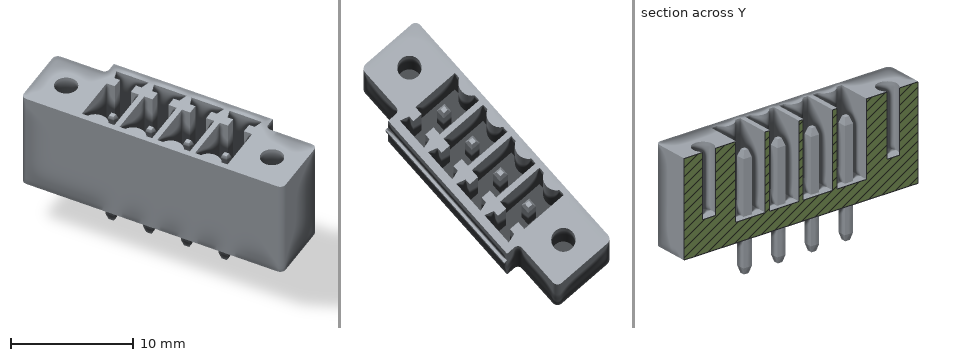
import cadquery as cq

LENGTH = 24.3
EAR_DEPTH = 6.0
BACK_WALL_Y = 7.25
BACK_WALL_LENGTH = 14.75
HEIGHT = 9.2
CORNER_RADIUS = 0.5
INNER_CORNER_RADIUS = 0.44

RIB_PROJECTION = 0.32
RIB_HEIGHT = 0.58
RIB_BOTTOM_Z = 5.69

HOLE_SPACING = 19.1
HOLE_DIAMETER = 2.0
HOLE_DEPTH = 6.08

CONTACT_COUNT = 4
PITCH = 3.5
CONTACT_Y = 3.01
PIN_WIDTH = 0.85
PIN_HEAD_TIP_WIDTH = 0.41
PIN_TAIL_TIP_WIDTH = 0.49
PIN_TIP_LENGTH = 0.65
PIN_TAIL_LENGTH = 3.4
PIN_TOP_Z = 7.8

POCKET_DEPTH = 7.3
POCKET_WIDTH = 3.01
POCKET_FRONT_Y = 0.5
NECK_WIDTH = 1.48
NECK_FRONT_Y = 4.8
NECK_BACK_Y = 5.7
DOVETAIL_NARROW_WIDTH = 2.53
POCKET_BACK_Y = 6.51
BUMP_WIDTH = 1.95
BUMP_HEIGHT = 0.58

contact_positions = [
    (PITCH * (i - (CONTACT_COUNT - 1) / 2), CONTACT_Y) for i in range(CONTACT_COUNT)
]


def make_housing():
    """Stepped block with rounded ear corners and rounded inner corners."""
    ears = cq.Workplane("XY").box(LENGTH, EAR_DEPTH, HEIGHT, centered=(True, False, False))
    ears = ears.edges("|Z").fillet(CORNER_RADIUS)
    middle = cq.Workplane("XY").box(
        BACK_WALL_LENGTH, BACK_WALL_Y, HEIGHT, centered=(True, False, False)
    )
    inner_corners = cq.selectors.BoxSelector(
        (-BACK_WALL_LENGTH / 2 - INNER_CORNER_RADIUS, EAR_DEPTH - INNER_CORNER_RADIUS, 0),
        (BACK_WALL_LENGTH / 2 + INNER_CORNER_RADIUS, EAR_DEPTH + INNER_CORNER_RADIUS, HEIGHT),
    )
    return ears.union(middle).edges("|Z").edges(inner_corners).fillet(INNER_CORNER_RADIUS)


def make_rib():
    """Straight latch rib standing off the back wall."""
    return (
        cq.Workplane("XY")
        .box(BACK_WALL_LENGTH, RIB_PROJECTION, RIB_HEIGHT, centered=(True, False, False))
        .translate((0, BACK_WALL_Y, RIB_BOTTOM_Z))
    )


def make_pocket(x):
    """Pocket with a polarising bump in front and a dovetail slot at the back."""
    half_pocket = POCKET_WIDTH / 2
    half_neck = NECK_WIDTH / 2
    half_dovetail = DOVETAIL_NARROW_WIDTH / 2
    half_bump = BUMP_WIDTH / 2
    return (
        cq.Workplane("XY")
        .moveTo(-half_pocket, POCKET_FRONT_Y)
        .lineTo(-half_bump, POCKET_FRONT_Y)
        .threePointArc((0, POCKET_FRONT_Y + BUMP_HEIGHT), (half_bump, POCKET_FRONT_Y))
        .lineTo(half_pocket, POCKET_FRONT_Y)
        .lineTo(half_pocket, NECK_FRONT_Y)
        .lineTo(half_neck, NECK_FRONT_Y)
        .lineTo(half_neck, NECK_BACK_Y)
        .lineTo(half_dovetail, NECK_BACK_Y)
        .lineTo(half_pocket, POCKET_BACK_Y)
        .lineTo(-half_pocket, POCKET_BACK_Y)
        .lineTo(-half_dovetail, NECK_BACK_Y)
        .lineTo(-half_neck, NECK_BACK_Y)
        .lineTo(-half_neck, NECK_FRONT_Y)
        .lineTo(-half_pocket, NECK_FRONT_Y)
        .close()
        .extrude(POCKET_DEPTH)
        .translate((x, 0, HEIGHT - POCKET_DEPTH))
    )


def make_pin(x, y):
    """Square contact pin tapered at both ends."""
    shank_bottom = -PIN_TAIL_LENGTH + PIN_TIP_LENGTH
    shank_top = PIN_TOP_Z - PIN_TIP_LENGTH
    taper_ends = [
        (shank_top, PIN_TIP_LENGTH, PIN_HEAD_TIP_WIDTH),
        (shank_bottom, -PIN_TIP_LENGTH, PIN_TAIL_TIP_WIDTH),
    ]
    pin = (
        cq.Workplane("XY")
        .workplane(offset=shank_bottom)
        .rect(PIN_WIDTH, PIN_WIDTH)
        .extrude(shank_top - shank_bottom)
    )
    for base_z, tip_offset, tip_width in taper_ends:
        tip = (
            cq.Workplane("XY")
            .workplane(offset=base_z)
            .rect(PIN_WIDTH, PIN_WIDTH)
            .workplane(offset=tip_offset)
            .rect(tip_width, tip_width)
            .loft()
        )
        pin = pin.union(tip)
    return pin.translate((x, y, 0))


result = make_housing().union(make_rib())

mounting_holes = (
    cq.Workplane("XY")
    .workplane(offset=HEIGHT)
    .pushPoints([(-HOLE_SPACING / 2, CONTACT_Y), (HOLE_SPACING / 2, CONTACT_Y)])
    .circle(HOLE_DIAMETER / 2)
    .extrude(-HOLE_DEPTH)
)
result = result.cut(mounting_holes)

for contact_x, contact_y in contact_positions:
    result = result.cut(make_pocket(contact_x)).union(make_pin(contact_x, contact_y))